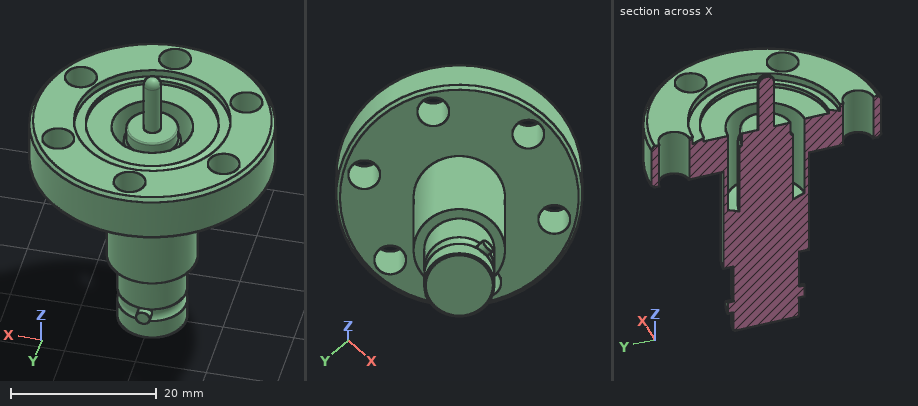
import cadquery as cq
import math

TOTAL_HEIGHT = 42.65
FLANGE_TOP = 35.07
FLANGE_THICKNESS = 7.2
FLANGE_BOTTOM = FLANGE_TOP - FLANGE_THICKNESS
SLEEVE_BOTTOM = 11.15

FLANGE_RADIUS = 16.9
FLANGE_CHAMFER = 0.5
BOLT_COUNT = 6
BOLT_CIRCLE_RADIUS = 13.5
BOLT_HOLE_RADIUS = 2.18
FIRST_BOLT_ANGLE = 30.0

RECESS_RADIUS = 10.75
KNIFE_RADIUS = 9.15
RECESS_DEPTH = 1.1
KNIFE_DEPTH = 0.5
SEAL_FLOOR = FLANGE_TOP - RECESS_DEPTH
KNIFE_TIP = FLANGE_TOP - KNIFE_DEPTH

BORE_RADIUS = 5.6
BORE_DEPTH = 12.8
BORE_FLOOR_SLOPE = math.radians(22.0)
BORE_BOTTOM = SEAL_FLOOR - BORE_DEPTH

POST_TOP_DROP = 0.13
POST_TOP = SEAL_FLOOR - POST_TOP_DROP
POST_RADIUS = 3.6
POST_FOOT_RADIUS = 3.93
POST_TOP_ROUND = 0.2
POST_NECK_LENGTH = 1.95
POST_FOOT_BEVEL = POST_FOOT_RADIUS - POST_RADIUS
PIN_RADIUS = 1.2

SLEEVE_RADIUS = 6.27
CONNECTOR_RADIUS = 4.82
CONNECTOR_CHAMFER = 0.2
GROOVE_HEIGHT = 4.22
GROOVE_WIDTH = 2.1
GROOVE_DEPTH = 0.5
LUG_RADIUS = 1.0
LUG_SPAN = 11.25


def make_body():
    """Revolve flange, sleeve, connector, cavity, post and pin in one profile."""
    flange_edge = FLANGE_RADIUS - FLANGE_CHAMFER
    foot_top = POST_TOP - POST_NECK_LENGTH - POST_FOOT_BEVEL
    floor_drop = (BORE_RADIUS - POST_FOOT_RADIUS) * math.tan(BORE_FLOOR_SLOPE)
    dome_base = TOTAL_HEIGHT - PIN_RADIUS
    dome_diagonal = PIN_RADIUS * math.sqrt(0.5)
    profile = (
        cq.Workplane("XZ")
        .moveTo(0, 0)
        .lineTo(CONNECTOR_RADIUS - CONNECTOR_CHAMFER, 0)
        .lineTo(CONNECTOR_RADIUS, CONNECTOR_CHAMFER)
        .lineTo(CONNECTOR_RADIUS, GROOVE_HEIGHT - GROOVE_WIDTH / 2)
        .threePointArc(
            (CONNECTOR_RADIUS - GROOVE_DEPTH, GROOVE_HEIGHT),
            (CONNECTOR_RADIUS, GROOVE_HEIGHT + GROOVE_WIDTH / 2),
        )
        .lineTo(CONNECTOR_RADIUS, SLEEVE_BOTTOM)
        .lineTo(SLEEVE_RADIUS, SLEEVE_BOTTOM)
        .lineTo(SLEEVE_RADIUS, FLANGE_BOTTOM)
        .lineTo(flange_edge, FLANGE_BOTTOM)
        .lineTo(FLANGE_RADIUS, FLANGE_BOTTOM + FLANGE_CHAMFER)
        .lineTo(FLANGE_RADIUS, FLANGE_TOP - FLANGE_CHAMFER)
        .lineTo(flange_edge, FLANGE_TOP)
        .lineTo(RECESS_RADIUS, FLANGE_TOP)
        .lineTo(RECESS_RADIUS, SEAL_FLOOR)
        .lineTo(KNIFE_RADIUS, KNIFE_TIP)
        .lineTo(KNIFE_RADIUS, SEAL_FLOOR)
        .lineTo(BORE_RADIUS, SEAL_FLOOR)
        .lineTo(BORE_RADIUS, BORE_BOTTOM)
        .lineTo(POST_FOOT_RADIUS, BORE_BOTTOM - floor_drop)
        .lineTo(POST_FOOT_RADIUS, foot_top)
        .lineTo(POST_RADIUS, foot_top + POST_FOOT_BEVEL)
        .lineTo(POST_RADIUS, POST_TOP - POST_TOP_ROUND)
        .radiusArc((POST_RADIUS - POST_TOP_ROUND, POST_TOP), -POST_TOP_ROUND)
        .lineTo(PIN_RADIUS, POST_TOP)
        .lineTo(PIN_RADIUS, dome_base)
        .threePointArc((dome_diagonal, dome_base + dome_diagonal), (0, TOTAL_HEIGHT))
        .close()
    )
    return profile.revolve(360, (0, 0, 0), (0, 1, 0))


def make_bolt_holes():
    """Cylinders through the flange, evenly spaced on the bolt circle."""
    return (
        cq.Workplane("XY", origin=(0, 0, FLANGE_BOTTOM))
        .polarArray(BOLT_CIRCLE_RADIUS, FIRST_BOLT_ANGLE, 360, BOLT_COUNT)
        .circle(BOLT_HOLE_RADIUS)
        .extrude(FLANGE_THICKNESS)
    )


def make_lugs():
    """Bayonet lugs: one round bar along Y across the connector groove."""
    return (
        cq.Workplane("XZ", origin=(0, 0, GROOVE_HEIGHT))
        .circle(LUG_RADIUS)
        .extrude(LUG_SPAN / 2, both=True)
    )


result = make_body().cut(make_bolt_holes()).union(make_lugs())